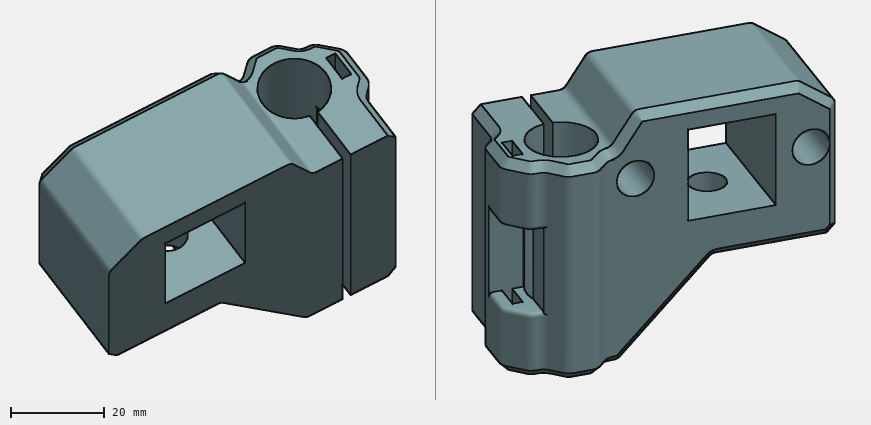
import math

import cadquery as cq


length_y = 75.0
height = 59.5
clamp_height = 51.5
open_end_x = 21.0
boss_top_y = 15.3
block_end_y = boss_top_y - length_y

block_side_x = -9.0
clamp_side_x = -13.0
clamp_flat_half = 3.4
arm_top_y = 12.35
boss_left_x = -4.1
boss_right_x = 5.9
outline_radius = 3.0
wall_step = block_side_x - clamp_side_x
clamp_shoulder_y = clamp_flat_half + wall_step
boss_shoulder_y = boss_top_y - (boss_left_x - block_side_x)
blend_length = outline_radius * math.tan(math.radians(45 / 2))
blend_margin = 0.01
clamp_end_y = -(clamp_shoulder_y + blend_length + blend_margin)

block_bottom_z = 21.5
block_mid_x = (block_side_x + open_end_x) / 2
gusset_foot_y = -10.1
ramp_foot_y = -8.5
ramp_top_y = -14.0
end_slope_y = -51.3
end_slope_z = 53.4
end_chamfer = 2.0
outer_chamfer = 2.0
profile_radius = outer_chamfer + 0.05

bore_diameter = 15.7
split_width = 2.0
slot_half_x = 3.2
slot_min_y = 10.0
slot_max_y = 12.3
notch_height = 20.0
notch_edge_radius = 1.0

window_width = 20.0
window_height = 22.0
window_mid_y = -35.5
window_bottom_z = 31.5
hole_diameter = 8.5
side_hole_depth = 25.0
side_hole_z = 44.0
side_hole_ys = (-13.5, -53.5)


def box_between(x_range, y_range, z_range):
    """Box spanning the given (low, high) ranges."""
    sizes = [high - low for low, high in (x_range, y_range, z_range)]
    corner = (x_range[0], y_range[0], z_range[0])
    return cq.Workplane("XY").box(*sizes, centered=False).translate(corner)


def round_corners(body, direction, corners, radius):
    """Fillet the edge in the given direction whose middle is nearest to each corner point."""
    for corner in corners:
        nearest = cq.selectors.NearestToPointSelector(corner)
        body = body.edges(direction).edges(nearest).fillet(radius)
    return body


def clamp_prism(prism_height):
    """Plan outline of the clamp wall, boss and arms, with rounded corners, raised from Z = 0."""
    points = [
        (open_end_x, arm_top_y),
        (boss_right_x + boss_top_y - arm_top_y, arm_top_y),
        (boss_right_x, boss_top_y),
        (boss_left_x, boss_top_y),
        (block_side_x, boss_shoulder_y),
        (block_side_x, clamp_shoulder_y),
        (clamp_side_x, clamp_flat_half),
        (clamp_side_x, -clamp_flat_half),
        (block_side_x, -clamp_shoulder_y),
        (block_side_x, clamp_end_y),
        (open_end_x, clamp_end_y),
    ]
    body = cq.Workplane("XY").polyline(points).close().extrude(prism_height)
    corners = [(x, y, prism_height / 2) for x, y in points[1:-2]]
    return round_corners(body, "|Z", corners, outline_radius)


def clamp_body():
    """Clamp chamfered along its outline at top and bottom."""
    outline = clamp_prism(clamp_height).faces("|Z").edges("not(>X or <Y)")
    return outline.chamfer(outer_chamfer)


def block_body():
    """Block with its ramp and gusset, chamfered along the outline of its flat side."""
    block_start_y = -clamp_shoulder_y
    upper_slopes = [
        (ramp_foot_y, clamp_height),
        (ramp_top_y, height),
        (end_slope_y, height),
        (block_end_y, end_slope_z),
    ]
    end_corner = [
        (block_end_y, block_bottom_z + end_chamfer),
        (block_end_y + end_chamfer, block_bottom_z),
    ]
    gusset_ends = [
        (gusset_foot_y - block_bottom_z, block_bottom_z),
        (gusset_foot_y, 0),
    ]
    start = [(block_start_y, 0), (block_start_y, clamp_height)]
    points = start + upper_slopes + end_corner + gusset_ends
    body = (
        cq.Workplane("YZ", origin=(block_side_x, 0, 0))
        .polyline(points)
        .close()
        .extrude(open_end_x - block_side_x)
    )
    corners = [(block_mid_x, y, z) for y, z in upper_slopes + gusset_ends]
    body = round_corners(body, "|X", corners, profile_radius)
    outline = body.faces("<X").edges("not(>Y)")
    return outline.chamfer(outer_chamfer)


def vertical_hole(diameter, center_x, center_y, z_range):
    """Upright cylinder between two heights."""
    base = cq.Workplane("XY", origin=(center_x, center_y, z_range[0]))
    return base.circle(diameter / 2).extrude(z_range[1] - z_range[0])


def cut_notch(body):
    """Gap in the boss at mid height, its two ends rounded where they meet the boss wall."""
    end_z = (clamp_height - notch_height) / 2
    lower_end = clamp_prism(end_z).faces(">Z").edges("not(>X or <Y)").fillet(notch_edge_radius)
    upper_end = lower_end.mirror("XY").translate((0, 0, clamp_height))
    points = [
        (slot_half_x, boss_top_y),
        (slot_half_x, clamp_shoulder_y),
        (block_side_x, clamp_shoulder_y),
        (clamp_side_x, clamp_flat_half),
        (clamp_side_x, boss_top_y),
    ]
    base = cq.Workplane("XY", origin=(0, 0, end_z - notch_edge_radius))
    notch = base.polyline(points).close().extrude(notch_height + 2 * notch_edge_radius)
    return body.cut(notch.cut(lower_end).cut(upper_end))


def cut_clamp(body):
    """Notch in the boss, then the bore, the split between the arms and the boss slot."""
    full_z = (0, clamp_height)
    split = box_between((0, open_end_x), (-split_width / 2, split_width / 2), full_z)
    slot = box_between((-slot_half_x, slot_half_x), (slot_min_y, slot_max_y), full_z)
    bore = vertical_hole(bore_diameter, 0, 0, (0, height))
    return cut_notch(body).cut(bore).cut(split).cut(slot)


def cut_block(body):
    """Rectangular window along X, two blind holes beside it and one hole through its floor."""
    window = box_between(
        (block_side_x, open_end_x),
        (window_mid_y - window_width / 2, window_mid_y + window_width / 2),
        (window_bottom_z, window_bottom_z + window_height),
    )
    floor_hole = vertical_hole(
        hole_diameter, block_mid_x, window_mid_y, (block_bottom_z, window_bottom_z)
    )
    body = body.cut(window).cut(floor_hole)
    for hole_y in side_hole_ys:
        base = cq.Workplane("YZ", origin=(block_side_x, hole_y, side_hole_z))
        body = body.cut(base.circle(hole_diameter / 2).extrude(side_hole_depth))
    return body


result = cut_block(cut_clamp(clamp_body().union(block_body())))